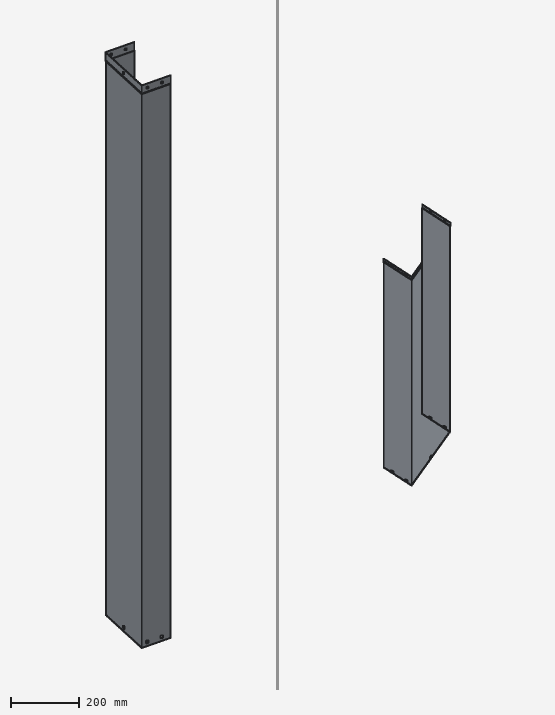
import cadquery as cq

WIDTH = 202.0
DEPTH = 100.0
LENGTH = 1999.0
SHEET = 1.0

SOCKET_DEPTH = 30.0

SOCKET_HOLE_DIAMETER = 7.0
BODY_HOLE_DIAMETER = 10.0
HOLE_FROM_END = SOCKET_DEPTH / 2
SIDE_HOLES_FROM_WEB = (20.0, 70.0)

WEB_Y = -DEPTH / 2
TOP_Z = LENGTH / 2
BOTTOM_Z = -LENGTH / 2
SOCKET_FLOOR_Z = TOP_Z - SOCKET_DEPTH
LEDGE_Z = SOCKET_FLOOR_Z - SHEET


def block(inset, bottom_z, top_z):
    """Box inset from the socket's outer faces, flush at the open side."""
    return cq.Workplane("XY").box(
        WIDTH - 2 * inset, DEPTH - inset, top_z - bottom_z
    ).translate((0, inset / 2, (bottom_z + top_z) / 2))


def stepped_channel():
    """Channel whose socket meets the body at a square step one sheet thick."""
    outside = block(SHEET, BOTTOM_Z, TOP_Z).union(block(0, LEDGE_Z, TOP_Z))
    inside = block(2 * SHEET, BOTTOM_Z, TOP_Z).union(block(SHEET, SOCKET_FLOOR_Z, TOP_Z))
    return outside.cut(inside)


def web_hole(diameter, z):
    """Round cutter through the web at mid width."""
    start = cq.Vector(0, WEB_Y, z)
    return cq.Workplane(cq.Solid.makeCylinder(diameter / 2, DEPTH, start, cq.Vector(0, 1, 0)))


def side_hole(diameter, y, z):
    """Round cutter through both side walls."""
    start = cq.Vector(-WIDTH / 2, y, z)
    return cq.Workplane(cq.Solid.makeCylinder(diameter / 2, WIDTH, start, cq.Vector(1, 0, 0)))


result = stepped_channel()

hole_rows = (
    (BODY_HOLE_DIAMETER, BOTTOM_Z + HOLE_FROM_END),
    (SOCKET_HOLE_DIAMETER, TOP_Z - HOLE_FROM_END),
)
for hole_diameter, hole_z in hole_rows:
    result = result.cut(web_hole(hole_diameter, hole_z))
    for distance in SIDE_HOLES_FROM_WEB:
        result = result.cut(side_hole(hole_diameter, WEB_Y + distance, hole_z))